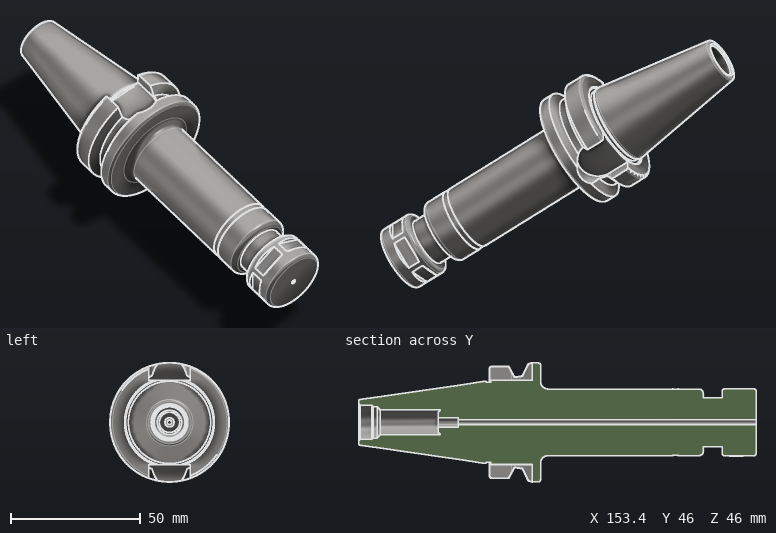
import cadquery as cq
import math


TAPER_RATIO = 7 / 24
GAUGE_DIAMETER = 31.8
GAUGE_RADIUS = GAUGE_DIAMETER / 2
GAUGE_X = 48.2
NOSE_FILLET = 0.8
RELIEF_RADIUS = 15.5
RELIEF_START_X = 49.1
RELIEF_END_X = 49.5

FLANGE_RADIUS = 23.0
FLANGE_START_X = 50.5
FLANGE_END_X = 70.3
FLANGE_FILLET = 0.9
RECESS_RADIUS = 16.9
RECESS_DEPTH = 0.5
GROOVE_RADIUS = 19.2
GROOVE_START_X = 60.1
GROOVE_END_X = 63.2
GROOVE_FLANK_ANGLE = 30.0

SLOT_WIDTH = 16.1
SLOT_FLOOR_Z = 16.3
SLOT_END_X = 66.9

BODY_DIAMETER = 26.0
BODY_RADIUS = BODY_DIAMETER / 2
BODY_END_X = 133.0
BODY_ROOT_FILLET = 2.8
BODY_END_FILLET = 1.8

BAND_DIAMETER = 25.6
BAND_START_X = 121.0
BAND_END_X = 123.3

NECK_DIAMETER = 19.0

NUT_RADIUS = 13.0
NUT_START_X = 140.0
NUT_END_X = 153.4
NUT_FILLET = 1.2
POCKET_COUNT = 6
POCKET_FLAT_DISTANCE = 11.8
POCKET_FLAT_START_X = 143.1
POCKET_FLAT_END_X = 148.0
POCKET_WALL_SLANT = 0.5

BORE_CHAMFER = 0.6
PILOT_DIAMETER = 13.0
PILOT_DEPTH = 5.0
THREAD_DIAMETER = 12.0
THREAD_RUNOUT_DIAMETER = 10.5
THREAD_LENGTH = 1.5
PLUG_DIAMETER = 9.4
PLUG_FACE_X = 30.7
PLUG_FACE_DIAMETER = 7.8
COUNTERBORE_DIAMETER = 3.5
COUNTERBORE_DEPTH = 7.7
THROUGH_DIAMETER = 1.7


def cylinder(radius, start_x, end_x):
    return cq.Workplane("YZ", origin=(start_x, 0, 0)).circle(radius).extrude(end_x - start_x)


def revolve_about_x(points):
    """Solid of revolution about X from (x, radius) points."""
    return cq.Workplane("XY").polyline(points).close().revolve(360, (0, 0, 0), (1, 0, 0))


def make_taper():
    """Taper cone followed by a collar that steps down before it meets the flange."""
    nose_radius = GAUGE_RADIUS - GAUGE_X * TAPER_RATIO / 2
    cone = revolve_about_x([(0, 0), (0, nose_radius), (GAUGE_X, GAUGE_RADIUS), (GAUGE_X, 0)])
    cone = cone.faces("<X").edges().fillet(NOSE_FILLET)
    collar = revolve_about_x([
        (GAUGE_X, 0),
        (GAUGE_X, GAUGE_RADIUS),
        (RELIEF_START_X, GAUGE_RADIUS),
        (RELIEF_END_X, RELIEF_RADIUS),
        (FLANGE_START_X + RECESS_DEPTH, RELIEF_RADIUS),
        (FLANGE_START_X + RECESS_DEPTH, 0),
    ])
    return cone.union(collar)


def make_drive_slot():
    """Cutter for the +Z drive slot, open towards the taper and round at its far end."""
    half_width = SLOT_WIDTH / 2
    arc_x = SLOT_END_X - half_width
    return (
        cq.Workplane("XY", origin=(0, 0, SLOT_FLOOR_Z))
        .moveTo(FLANGE_START_X, -half_width)
        .lineTo(arc_x, -half_width)
        .threePointArc((SLOT_END_X, 0), (arc_x, half_width))
        .lineTo(FLANGE_START_X, half_width)
        .close()
        .extrude(FLANGE_RADIUS)
    )


def make_flange():
    """Flange with a gripper groove, two opposite drive slots and a recess around the collar."""
    flange = cylinder(FLANGE_RADIUS, FLANGE_START_X, FLANGE_END_X).edges().fillet(FLANGE_FILLET)
    recess_floor_x = FLANGE_START_X + RECESS_DEPTH
    recess = revolve_about_x([
        (FLANGE_START_X, 0),
        (FLANGE_START_X, RECESS_RADIUS + RECESS_DEPTH),
        (recess_floor_x, RECESS_RADIUS),
        (recess_floor_x, 0),
    ])
    flank_length = (FLANGE_RADIUS - GROOVE_RADIUS) * math.tan(math.radians(GROOVE_FLANK_ANGLE))
    groove = revolve_about_x([
        (GROOVE_START_X - flank_length, FLANGE_RADIUS),
        (GROOVE_START_X, GROOVE_RADIUS),
        (GROOVE_END_X, GROOVE_RADIUS),
        (GROOVE_END_X + flank_length, FLANGE_RADIUS),
    ])
    slot = make_drive_slot()
    opposite_slot = slot.rotate((0, 0, 0), (1, 0, 0), 180)
    return flange.cut(recess).cut(groove).cut(slot).cut(opposite_slot)


def make_body():
    """Long cylinder with a rounded root and end, plus the neck that carries the nut."""
    body = cylinder(BODY_RADIUS, FLANGE_END_X, BODY_END_X)
    body = body.faces(">X").edges().fillet(BODY_END_FILLET)
    band_ring = cylinder(FLANGE_RADIUS, BAND_START_X, BAND_END_X)
    band_ring = band_ring.cut(cylinder(BAND_DIAMETER / 2, BAND_START_X, BAND_END_X))
    root = (
        cq.Workplane("XY")
        .moveTo(FLANGE_END_X, 0)
        .lineTo(FLANGE_END_X, BODY_RADIUS + BODY_ROOT_FILLET)
        .radiusArc((FLANGE_END_X + BODY_ROOT_FILLET, BODY_RADIUS), -BODY_ROOT_FILLET)
        .lineTo(FLANGE_END_X + BODY_ROOT_FILLET, 0)
        .close()
        .revolve(360, (0, 0, 0), (1, 0, 0))
    )
    neck = cylinder(NECK_DIAMETER / 2, BODY_END_X, NUT_START_X)
    return body.cut(band_ring).union(root).union(neck)


def make_nut():
    """Nut with flat-bottomed wrench pockets whose end walls slant outwards."""
    nut = cylinder(NUT_RADIUS, NUT_START_X, NUT_END_X).edges().fillet(NUT_FILLET)
    half_length = math.sqrt(NUT_RADIUS**2 - POCKET_FLAT_DISTANCE**2)
    pocket = (
        cq.Workplane("XY")
        .polyline([
            (POCKET_FLAT_START_X, POCKET_FLAT_DISTANCE),
            (POCKET_FLAT_END_X, POCKET_FLAT_DISTANCE),
            (POCKET_FLAT_END_X + POCKET_WALL_SLANT, NUT_RADIUS),
            (POCKET_FLAT_START_X - POCKET_WALL_SLANT, NUT_RADIUS),
        ])
        .close()
        .extrude(half_length, both=True)
    )
    for index in range(POCKET_COUNT):
        nut = nut.cut(pocket.rotate((0, 0, 0), (1, 0, 0), index * 360 / POCKET_COUNT))
    return nut


def make_bore():
    """Cutter for the stepped bore, with 45 degree cones between its steps."""
    pilot = PILOT_DIAMETER / 2
    thread = THREAD_DIAMETER / 2
    runout = THREAD_RUNOUT_DIAMETER / 2
    plug = PLUG_DIAMETER / 2
    plug_face = PLUG_FACE_DIAMETER / 2
    counterbore = COUNTERBORE_DIAMETER / 2
    through = THROUGH_DIAMETER / 2
    thread_start_x = PILOT_DEPTH + pilot - thread
    thread_end_x = thread_start_x + THREAD_LENGTH
    runout_x = thread_end_x + thread - runout
    counterbore_end_x = PLUG_FACE_X + COUNTERBORE_DEPTH
    return revolve_about_x([
        (0, 0),
        (0, pilot + BORE_CHAMFER),
        (BORE_CHAMFER, pilot),
        (PILOT_DEPTH, pilot),
        (thread_start_x, thread),
        (thread_end_x, thread),
        (runout_x, runout),
        (runout_x + runout - plug, plug),
        (PLUG_FACE_X + plug - plug_face, plug),
        (PLUG_FACE_X, plug_face),
        (PLUG_FACE_X, counterbore),
        (counterbore_end_x, counterbore),
        (counterbore_end_x, through),
        (NUT_END_X, through),
        (NUT_END_X, 0),
    ])


result = make_taper().union(make_flange()).union(make_body()).union(make_nut()).cut(make_bore())